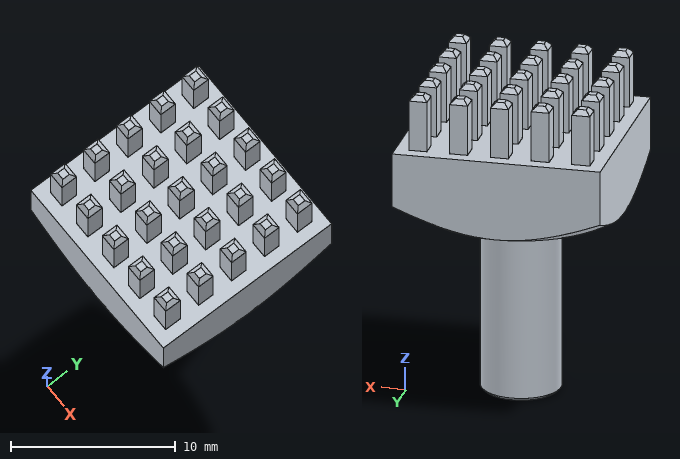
import cadquery as cq
import math

total_height = 20.5
head_width = 13.0

stem_diameter = 5.0
stem_length = 12.0
stem_chamfer = 0.2

head_height = 5.0
corner_chamfer_angle = 30.0

pins_per_side = 5
pin_pitch = 2.55
pin_width = 1.13
pin_chamfer = 0.3
pin_height = total_height - stem_length - head_height

head_bottom = stem_length
head_top = head_bottom + head_height


def make_stem():
    """Round stem standing on Z = 0 with a small chamfer at its free end."""
    return (
        cq.Workplane("XY")
        .circle(stem_diameter / 2)
        .extrude(stem_length)
        .faces("<Z")
        .chamfer(stem_chamfer)
    )


def make_head():
    """Square block whose four lower corners are trimmed by an upright cone."""
    block = (
        cq.Workplane("XY", origin=(0, 0, head_bottom))
        .rect(head_width, head_width)
        .extrude(head_height)
    )
    start_radius = head_width / 2
    end_radius = start_radius + head_height / math.tan(math.radians(corner_chamfer_angle))
    cone = (
        cq.Workplane("XZ")
        .moveTo(0, head_bottom)
        .lineTo(start_radius, head_bottom)
        .lineTo(end_radius, head_top)
        .lineTo(0, head_top)
        .close()
        .revolve(360, (0, 0, 0), (0, 1, 0))
    )
    return block.intersect(cone)


def make_pins():
    """Square grid of square pins with chamfered tips."""
    return (
        cq.Workplane("XY", origin=(0, 0, head_top))
        .rarray(pin_pitch, pin_pitch, pins_per_side, pins_per_side)
        .rect(pin_width, pin_width)
        .extrude(pin_height)
        .faces(">Z")
        .chamfer(pin_chamfer)
    )


result = make_stem().union(make_head()).union(make_pins())